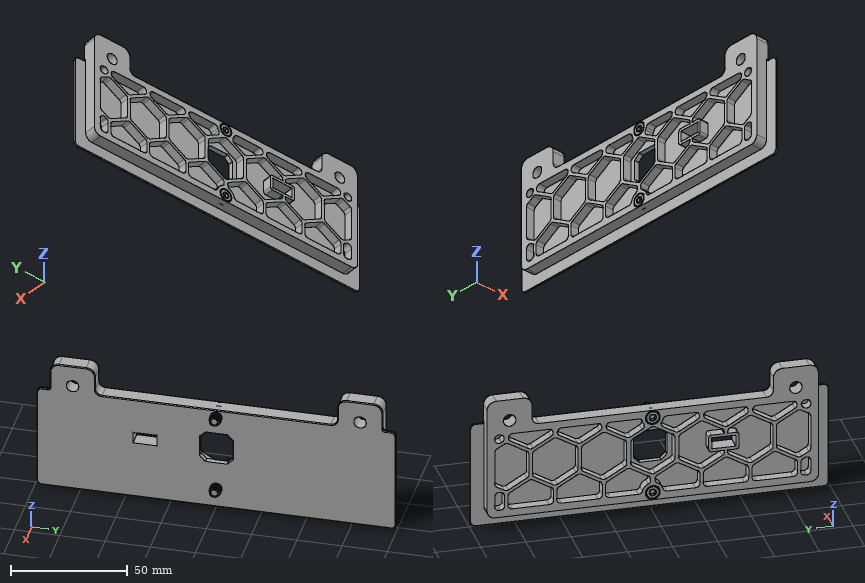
import cadquery as cq
import math


SELECT_MARGIN = 0.1

PLATE_WIDTH = 147.0
PLATE_HEIGHT = 43.0
PLATE_THICKNESS = 7.05
PLATE_CORNER_RADIUS = 3.5
BACK_CHAMFER = 0.4

FLANGE_MARGIN = 5.8
FLANGE_THICKNESS = 1.3
FLANGE_CORNER_RADIUS = 2.0
FLANGE_ROOT_RADIUS = 1.0
FLANGE_WIDTH = PLATE_WIDTH + 2 * FLANGE_MARGIN
PLATE_BOTTOM = FLANGE_MARGIN
PLATE_TOP = PLATE_BOTTOM + PLATE_HEIGHT

TAB_WIDTH = 20.0
TAB_HEIGHT = 13.0
TAB_CORNER_RADIUS = 4.0
TAB_ROOT_RADIUS = 3.0
TAB_HOLE_DIAMETER = 5.5
TAB_HOLE_INSET = 10.0
TAB_TOP = PLATE_TOP + TAB_HEIGHT

POCKET_DEPTH = 4.5
POCKET_CORNER_RADIUS = 1.9
FRAME_WIDTH = 3.4
RIB_WIDTH = 1.5
CENTER_RIB_WIDTH = 2.0
CENTER_CELL_WIDTH = 19.5
HEX_RADIUS = 12.5
HEX_PITCH = HEX_RADIUS * math.sqrt(3)
HEX_ROW_PITCH = 1.5 * HEX_RADIUS
HEX_CELL_RADIUS = HEX_RADIUS - RIB_WIDTH / math.sqrt(3)
HEX_CENTER_Z = 29.6
HEX_COLUMNS = 4

WINDOW_SIZE = 14.8
WINDOW_CHAMFER = 2.6
SLOT_WIDTH = 10.6
SLOT_HEIGHT = 5.2
SLOT_CENTER_Y = -31.5
SLOT_WALL = 1.4
SLOT_WALL_CORNER_RADIUS = 1.2

SCREW_EDGE_DISTANCE = 3.5
SCREW_HEIGHTS = (PLATE_BOTTOM + SCREW_EDGE_DISTANCE, PLATE_TOP - SCREW_EDGE_DISTANCE)
SCREW_DIAMETER = 3.0
SCREW_LENGTH = 8.0
HEAD_DIAMETER = 5.5
HEAD_HEIGHT = 3.0
SOCKET_WIDTH = 2.5
SOCKET_DEPTH = 1.5
SOCKET_CHAMFER_DIAMETER = 3.2
CLEARANCE_DIAMETER = 3.4
COUNTERBORE_DIAMETER = 6.5
COUNTERBORE_DEPTH = HEAD_HEIGHT
INSERT_LENGTH = 4.0
INSERT_KNURL_LENGTH = 2.6
INSERT_COLLAR_LENGTH = 0.6
INSERT_COLLAR_DIAMETER = 4.6
INSERT_PILOT_DIAMETER = 4.25
KNURL_DEPTH = 0.3
KNURL_TEETH = 40


def block(y_min, y_max, z_min, z_max, x_min, x_max):
    """Box given by its limits along each axis."""
    size = (x_max - x_min, y_max - y_min, z_max - z_min)
    return cq.Workplane("XY").box(*size, centered=False).translate((x_min, y_min, z_min))


def centered_block(y, z, width, height, x_min, x_max):
    """Box centred on (y, z)."""
    return block(y - width / 2, y + width / 2, z - height / 2, z + height / 2, x_min, x_max)


def rod(y, z, diameter, x_min, x_max):
    """Cylinder along X centred on (y, z)."""
    section = cq.Workplane("YZ", origin=(x_min, y, z)).circle(diameter / 2)
    return section.extrude(x_max - x_min)


def edges_at(y, z):
    """Selector for the edges whose middle lies at (y, z) or at its mirror image (-y, z)."""
    def around(center_y):
        low = (0, center_y - SELECT_MARGIN, z - SELECT_MARGIN)
        high = (PLATE_THICKNESS, center_y + SELECT_MARGIN, z + SELECT_MARGIN)
        return cq.selectors.BoxSelector(low, high)

    return around(y) + around(-y)


def plate_blank():
    """Plate with two upright tabs, in its full thickness."""
    half = PLATE_WIDTH / 2
    tab_inner = half - TAB_WIDTH
    outline = [
        (-half, PLATE_BOTTOM), (half, PLATE_BOTTOM),
        (half, TAB_TOP), (tab_inner, TAB_TOP), (tab_inner, PLATE_TOP),
        (-tab_inner, PLATE_TOP), (-tab_inner, TAB_TOP), (-half, TAB_TOP),
    ]
    blank = cq.Workplane("YZ").polyline(outline).close().extrude(PLATE_THICKNESS)
    blank = blank.edges("|X").edges(edges_at(tab_inner, PLATE_TOP)).fillet(TAB_ROOT_RADIUS)
    blank = blank.edges("|X").edges(">Z").fillet(TAB_CORNER_RADIUS)
    return blank.edges("|X").edges("<Z").fillet(PLATE_CORNER_RADIUS)


def flange():
    """Thin sheet level with the back of the plate."""
    sheet = block(
        -FLANGE_WIDTH / 2, FLANGE_WIDTH / 2, 0, PLATE_TOP,
        PLATE_THICKNESS - FLANGE_THICKNESS, PLATE_THICKNESS,
    )
    return sheet.edges("|X").fillet(FLANGE_CORNER_RADIUS)


def flanged_blank():
    """Plate and flange as one blank with a chamfered back rim."""
    blank = plate_blank().union(flange())
    roots = blank.edges("|X").edges(edges_at(PLATE_WIDTH / 2, PLATE_TOP))
    blank = roots.fillet(FLANGE_ROOT_RADIUS)
    return blank.faces(">X").edges().chamfer(BACK_CHAMFER)


def hex_cell(y, z):
    """Hexagonal prism, one corner up, as deep as the pockets."""
    section = cq.Workplane("YZ", origin=(0, y, z)).transformed(rotate=(0, 0, 30))
    return section.polygon(6, 2 * HEX_CELL_RADIUS).extrude(POCKET_DEPTH)


def rounded_pocket(cell):
    """Cell with its outer corners rounded: its section shrunk, then grown back with arcs."""
    outline = cell.faces("<X").wires().val()
    core = outline.offset2D(-POCKET_CORNER_RADIUS)[0]
    section = cq.Workplane("YZ").add(core.offset2D(POCKET_CORNER_RADIUS)).toPending()
    return section.extrude(POCKET_DEPTH)


def honeycomb_pockets():
    """Hexagonal pockets trimmed by the frame, the screw bosses and the slot wall."""
    frame_half = PLATE_WIDTH / 2 - FRAME_WIDTH
    frame_bottom = PLATE_BOTTOM + FRAME_WIDTH
    frame_top = PLATE_TOP - FRAME_WIDTH
    frame = block(-frame_half, frame_half, frame_bottom, frame_top, 0, POCKET_DEPTH)
    slot_wall = centered_block(
        SLOT_CENTER_Y, HEX_CENTER_Z, SLOT_WIDTH + 2 * SLOT_WALL, SLOT_HEIGHT + 2 * SLOT_WALL,
        0, POCKET_DEPTH,
    )
    slot_wall = slot_wall.edges("|X").fillet(SLOT_WALL_CORNER_RADIUS)
    boss_diameter = COUNTERBORE_DIAMETER + 2 * RIB_WIDTH
    center_rib = block(
        -CENTER_RIB_WIDTH / 2, CENTER_RIB_WIDTH / 2, frame_bottom, frame_top, 0, POCKET_DEPTH
    )
    center_cell_limit = block(
        -CENTER_CELL_WIDTH / 2, CENTER_CELL_WIDTH / 2, frame_bottom, frame_top, 0, POCKET_DEPTH
    )
    pockets = []
    for row in (-1, 0, 1):
        z = HEX_CENTER_Z + row * HEX_ROW_PITCH
        shift = 0.5 * abs(row)
        for column in range(-HEX_COLUMNS, HEX_COLUMNS):
            y = (column + shift) * HEX_PITCH
            if row == 0 and column == -HEX_COLUMNS:
                continue
            cell = hex_cell(y, z).intersect(frame)
            if row == 0 and column == 0:
                cell = cell.intersect(center_cell_limit)
            if row != 0:
                cell = cell.cut(center_rib)
                for screw_z in SCREW_HEIGHTS:
                    cell = cell.cut(rod(0, screw_z, boss_diameter, 0, POCKET_DEPTH))
            pockets.append(rounded_pocket(cell).cut(slot_wall))
    return pockets


def window():
    """Square opening with cut corners behind the middle pocket."""
    opening = centered_block(0, HEX_CENTER_Z, WINDOW_SIZE, WINDOW_SIZE, 0, PLATE_THICKNESS)
    return opening.edges("|X").chamfer(WINDOW_CHAMFER)


def make_plate():
    """Flanged plate with its pockets, openings and holes."""
    plate = flanged_blank()
    for pocket in honeycomb_pockets():
        plate = plate.cut(pocket)
    plate = plate.cut(window())
    plate = plate.cut(
        centered_block(SLOT_CENTER_Y, HEX_CENTER_Z, SLOT_WIDTH, SLOT_HEIGHT, 0, PLATE_THICKNESS)
    )
    tab_hole_y = PLATE_WIDTH / 2 - TAB_HOLE_INSET
    for y in (-tab_hole_y, tab_hole_y):
        plate = plate.cut(rod(y, TAB_TOP - TAB_HOLE_INSET, TAB_HOLE_DIAMETER, 0, PLATE_THICKNESS))
    for z in SCREW_HEIGHTS:
        plate = plate.cut(rod(0, z, COUNTERBORE_DIAMETER, 0, COUNTERBORE_DEPTH))
        plate = plate.cut(rod(0, z, CLEARANCE_DIAMETER, 0, PLATE_THICKNESS))
    return plate


def make_screw(z):
    """Socket head screw, its head flush with the front of the plate."""
    head_back = COUNTERBORE_DEPTH
    head_front = head_back - HEAD_HEIGHT
    screw = rod(0, z, HEAD_DIAMETER, head_front, head_back)
    screw = screw.union(rod(0, z, SCREW_DIAMETER, head_back, head_back + SCREW_LENGTH))
    hex_diameter = SOCKET_WIDTH / math.cos(math.pi / 6)
    head_face = cq.Workplane("YZ", origin=(head_front, 0, z))
    socket = head_face.polygon(6, hex_diameter).extrude(SOCKET_DEPTH)
    lead_in = head_face.circle(SOCKET_CHAMFER_DIAMETER / 2)
    lead_in = lead_in.extrude((SOCKET_CHAMFER_DIAMETER - hex_diameter) / 2, taper=45)
    return screw.cut(socket).cut(lead_in)


def make_insert(z):
    """Threaded insert: a knurled sleeve at the plate, a short collar and a plain pilot."""
    front = PLATE_THICKNESS
    root_radius = INSERT_COLLAR_DIAMETER / 2
    tip_radius = root_radius + KNURL_DEPTH
    points = []
    for i in range(2 * KNURL_TEETH):
        angle = math.pi * i / KNURL_TEETH
        radius = tip_radius if i % 2 == 0 else root_radius
        points.append((radius * math.cos(angle), radius * math.sin(angle)))
    knurl = cq.Workplane("YZ", origin=(front, 0, z)).polyline(points).close()
    insert = knurl.extrude(INSERT_KNURL_LENGTH)
    collar_back = front + INSERT_KNURL_LENGTH + INSERT_COLLAR_LENGTH
    insert = insert.union(rod(0, z, INSERT_COLLAR_DIAMETER, front, collar_back))
    insert = insert.union(rod(0, z, INSERT_PILOT_DIAMETER, front, front + INSERT_LENGTH))
    return insert.cut(rod(0, z, SCREW_DIAMETER, front, front + INSERT_LENGTH))


plate = make_plate()
screws = [make_screw(z) for z in SCREW_HEIGHTS]
inserts = [make_insert(z) for z in SCREW_HEIGHTS]

result = cq.Compound.makeCompound(
    [plate.val(), *[screw.val() for screw in screws], *[insert.val() for insert in inserts]]
)